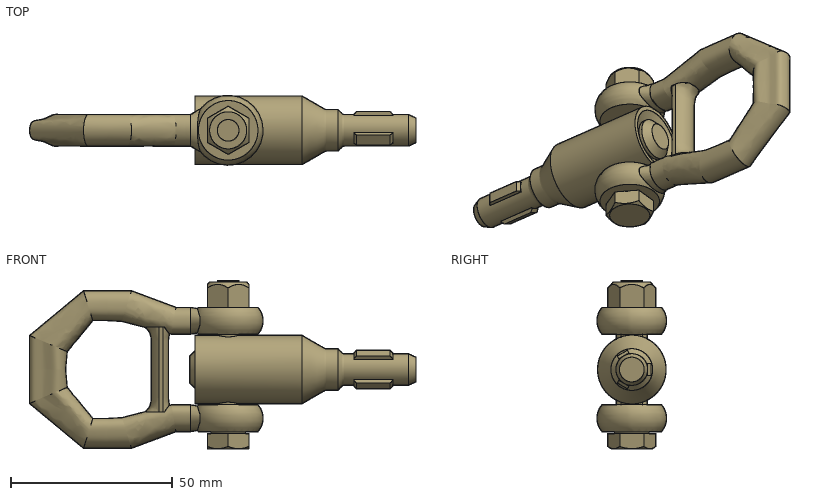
import cadquery as cq
import math


BODY_RADIUS = 10.7
BODY_START_X = -10.3
CONE_START_X = 22.9
CONE_ANGLE = 30.0
COLLAR_RADIUS = 6.5
COLLAR_END_X = 34.1
COLLAR_FILLET = 1.0
SHANK_RADIUS = 4.9
TIP_RADIUS = 3.8
TIP_CHAMFER_LENGTH = 2.3
TIP_X = 58.3
GROOVE_RIM_RADIUS = 9.4
GROOVE_DEPTH = 1.7
STUB_BASE_RADIUS = 6.5
STUB_RADIUS = 4.2
STUB_LENGTH = 1.7

KEY_COUNT = 3
KEY_START_X = 39.0
KEY_LENGTH = 12.1
KEY_WIDTH = 3.6
KEY_HEIGHT = 5.9
KEY_END_SLOPE = 0.8

BOLT_RADIUS = 3.4
HEX_WIDTH = 13.0
HEX_RADIUS = HEX_WIDTH / math.sqrt(3)
NUT_HEIGHT = 7.9
NUT_CORNER_DROP = 1.9
NUT_FACE_RADIUS = 5.8
BOLT_TIP_HEIGHT = 0.4
HEAD_HEIGHT = 4.8
HEAD_CORNER_DROP = 0.8
HEAD_FACE_RADIUS = 6.2
WASHER_FACE_RADIUS = 5.4
WASHER_FACE_HEIGHT = 0.6

EYE_DIAMETER = 21.7
EYE_RADIUS = EYE_DIAMETER / 2
EYE_FACE_RADIUS = 9.2
EYE_HEIGHT = 8.4
EYE_CENTRE_Z = 15.1
EYE_TOP_Z = EYE_CENTRE_Z + EYE_HEIGHT / 2
EYE_BOTTOM_Z = EYE_CENTRE_Z - EYE_HEIGHT / 2

NECK_START_X = -16.2
NECK_INNER_START_X = -17.5
NECK_JOINT_X = -13.2
FLARE_START_X = -11.8
FLARE_END_X = -8.8
FLARE_HALF_WIDTH = 6.6
FLARE_HALF_HEIGHT = 3.7

RING_END_X = -61.7
RING_HALF_WIDTH = 4.9
FLAT_HALF_WIDTH = 2.0
FLAT_ROUNDING = 0.6
END_DEPTH = 11.3
TAPER_DEPTH = 9.0
END_CORNER_OUTER = (RING_END_X, 0, 10.5)
END_CORNER_INNER = (-49.9, 0, 5.5)
RING_TOP_X = -37.4
RING_TOP_Z = 24.5
WINDOW_TOP_Z = 15.1
TOP_CORNER_X = -44.9
TOP_CORNER_INNER_X = -42.0
SHOULDER_X = 2 * RING_TOP_X - TOP_CORNER_X
SHOULDER_INNER_X = 2 * RING_TOP_X - TOP_CORNER_INNER_X
SHOULDER_INNER_Z = 14.9

BAR_LEFT_X = -23.9
BAR_RIGHT_X = -18.5
BAR_FLAT_LEFT_X = -21.5
BAR_FLAT_RIGHT_X = -20.3
BAR_HALF_WIDTH = 4.7
BAR_FLARE_START_Z = 8.9
BAR_FLARE_HEIGHT = 4.5
BAR_LEFT_FLARE = 3.1
BAR_RIGHT_FLARE = 2.4
BAR_FLARE_STEPS = 4
BAR_FLARE_FRACTION = 0.95


def edges_near_x(x):
    """Selector for the edges of the swivel body around one place on its axis."""
    gap = 0.1
    return cq.selectors.BoxSelector(
        (x - gap, -BODY_RADIUS, -BODY_RADIUS), (x + gap, BODY_RADIUS, BODY_RADIUS)
    )


def make_body():
    """Swivel body with its cone, collar and shank turned about X, and three keys."""
    slope = math.tan(math.radians(CONE_ANGLE))
    cone_end_x = CONE_START_X + (BODY_RADIUS - COLLAR_RADIUS) / slope
    shank_start_x = COLLAR_END_X + COLLAR_RADIUS - SHANK_RADIUS
    stub_cone_end_x = BODY_START_X - STUB_LENGTH + STUB_BASE_RADIUS - STUB_RADIUS
    profile = (
        cq.Workplane("XY")
        .moveTo(BODY_START_X - STUB_LENGTH, 0)
        .lineTo(BODY_START_X - STUB_LENGTH, STUB_RADIUS)
        .lineTo(stub_cone_end_x, STUB_BASE_RADIUS)
        .lineTo(BODY_START_X + GROOVE_DEPTH, STUB_BASE_RADIUS)
        .lineTo(BODY_START_X, GROOVE_RIM_RADIUS)
        .lineTo(BODY_START_X, BODY_RADIUS)
        .lineTo(CONE_START_X, BODY_RADIUS)
        .lineTo(cone_end_x, COLLAR_RADIUS)
        .lineTo(COLLAR_END_X, COLLAR_RADIUS)
        .lineTo(shank_start_x, SHANK_RADIUS)
        .lineTo(TIP_X - TIP_CHAMFER_LENGTH, SHANK_RADIUS)
        .lineTo(TIP_X, TIP_RADIUS)
        .lineTo(TIP_X, 0)
        .close()
    )
    body = profile.revolve(360, (0, 0, 0), (1, 0, 0))
    for x in (cone_end_x, shank_start_x):
        body = body.edges(edges_near_x(x)).fillet(COLLAR_FILLET)
    for index in range(KEY_COUNT):
        body = body.union(make_key().rotate((0, 0, 0), (1, 0, 0), index * 360 / KEY_COUNT))
    hole = cq.Workplane("XY").circle(BOLT_RADIUS).extrude(BODY_RADIUS, both=True)
    return body.cut(hole)


def make_key():
    """Key pointing along +Y, with sloping ends."""
    end_x = KEY_START_X + KEY_LENGTH
    return (
        cq.Workplane("XY")
        .moveTo(KEY_START_X, 0)
        .lineTo(KEY_START_X, SHANK_RADIUS)
        .lineTo(KEY_START_X + KEY_END_SLOPE, KEY_HEIGHT)
        .lineTo(end_x - KEY_END_SLOPE, KEY_HEIGHT)
        .lineTo(end_x, SHANK_RADIUS)
        .lineTo(end_x, 0)
        .close()
        .extrude(KEY_WIDTH / 2, both=True)
    )


def hexagon(height):
    """Hexagonal prism on the XY plane with corners along Y."""
    prism = cq.Workplane("XY").polygon(6, 2 * HEX_RADIUS).extrude(height)
    return prism.rotate((0, 0, 0), (0, 0, 1), 30)


def chamfered_hexagon(height, face_radius, drop):
    """Hexagonal prism whose top corners drop along a cone around its round top face."""
    cone = (
        cq.Workplane("XZ")
        .lineTo(HEX_RADIUS, 0)
        .lineTo(HEX_RADIUS, height - drop)
        .lineTo(face_radius, height)
        .lineTo(0, height)
        .close()
        .revolve(360, (0, 0, 0), (0, 1, 0))
    )
    return hexagon(height).intersect(cone)


def make_bolt():
    """Bolt with its hexagon head below the lower eye and its end above the nut."""
    head = chamfered_hexagon(HEAD_HEIGHT, HEAD_FACE_RADIUS, HEAD_CORNER_DROP)
    head = head.rotate((0, 0, 0), (1, 0, 0), 180)
    head = head.translate((0, 0, -EYE_TOP_Z - WASHER_FACE_HEIGHT))
    washer_face = (
        cq.Workplane("XY", origin=(0, 0, -EYE_TOP_Z - WASHER_FACE_HEIGHT))
        .circle(WASHER_FACE_RADIUS).extrude(WASHER_FACE_HEIGHT)
    )
    shank = (
        cq.Workplane("XY", origin=(0, 0, -EYE_TOP_Z))
        .circle(BOLT_RADIUS).extrude(2 * EYE_TOP_Z + NUT_HEIGHT + BOLT_TIP_HEIGHT)
    )
    return head.union(washer_face).union(shank)


def make_nut():
    """Nut resting on the upper eye."""
    hole = cq.Workplane("XY").circle(BOLT_RADIUS).extrude(NUT_HEIGHT)
    nut = chamfered_hexagon(NUT_HEIGHT, NUT_FACE_RADIUS, NUT_CORNER_DROP).cut(hole)
    return nut.translate((0, 0, EYE_TOP_Z))


def ring_section(outer, inner, side_points):
    """Smooth closed section in the plane of Y and the line from outer to inner.

    side_points lists (depth, half width) pairs for one side, from the outer edge to the inner edge.
    """
    start = cq.Vector(*outer)
    span = cq.Vector(*inner) - start
    inward = span.normalized()

    def at(depth, y):
        return start + inward * depth + cq.Vector(0, y, 0)

    left = [at(depth, y) for depth, y in side_points]
    right = [at(depth, -y) for depth, y in reversed(side_points)]
    outline = [at(0, 0), *left, at(span.Length, 0), *right]
    return cq.Wire.assembleEdges([cq.Edge.makeSpline(outline, periodic=True)])


def tapered_section(outer, inner):
    """Section with a narrow flat outer edge, tapered sides and a rounded inner edge."""
    depth = math.dist(outer, inner)
    return ring_section(outer, inner, [
        (0.4 * FLAT_ROUNDING, 0.7 * FLAT_HALF_WIDTH),
        (FLAT_ROUNDING, 1.1 * FLAT_HALF_WIDTH),
        (TAPER_DEPTH / 2, (FLAT_HALF_WIDTH + RING_HALF_WIDTH) / 2),
        (TAPER_DEPTH, RING_HALF_WIDTH),
        ((TAPER_DEPTH + 2 * depth) / 3, 0.7 * RING_HALF_WIDTH),
    ])


def oval_section(outer, inner):
    """Section with a round outer half, fuller sides inside it and a rounded inner edge."""
    depth = math.dist(outer, inner)
    angles = [math.radians(degrees) for degrees in (30, 60, 90)]
    outer_half = [
        (depth / 2 * (1 - math.cos(angle)), RING_HALF_WIDTH * math.sin(angle)) for angle in angles
    ]
    inner_half = [(0.8 * depth, 0.93 * RING_HALF_WIDTH), (0.95 * depth, 0.6 * RING_HALF_WIDTH)]
    return ring_section(outer, inner, outer_half + inner_half)


def make_half_ring():
    """Upper half of the ring with its neck and eye, lofted from the ring end to the eye."""
    sections = [
        tapered_section((RING_END_X, 0, 0), (RING_END_X + END_DEPTH, 0, 0)),
        tapered_section(END_CORNER_OUTER, END_CORNER_INNER),
        oval_section((TOP_CORNER_X, 0, RING_TOP_Z), (TOP_CORNER_INNER_X, 0, WINDOW_TOP_Z)),
        oval_section((RING_TOP_X, 0, RING_TOP_Z), (RING_TOP_X, 0, WINDOW_TOP_Z)),
        oval_section((SHOULDER_X, 0, RING_TOP_Z), (SHOULDER_INNER_X, 0, SHOULDER_INNER_Z)),
        oval_section((NECK_START_X, 0, EYE_TOP_Z), (NECK_INNER_START_X, 0, EYE_BOTTOM_Z)),
        oval_section((NECK_JOINT_X, 0, EYE_TOP_Z), (NECK_JOINT_X, 0, EYE_BOTTOM_Z)),
        oval_section((FLARE_START_X, 0, EYE_TOP_Z), (FLARE_START_X, 0, EYE_BOTTOM_Z)),
    ]
    half_ring = cq.Workplane(cq.Solid.makeLoft(sections, True))
    return half_ring.union(make_neck_flare()).union(make_eye())


def make_neck_flare():
    """Widening of the neck where it runs into the eye."""
    return (
        cq.Workplane("YZ", origin=(FLARE_START_X, 0, EYE_CENTRE_Z))
        .ellipse(RING_HALF_WIDTH, EYE_HEIGHT / 2)
        .workplane(offset=FLARE_END_X - FLARE_START_X)
        .ellipse(FLARE_HALF_WIDTH, FLARE_HALF_HEIGHT)
        .loft(ruled=True)
    )


def make_eye():
    """Upper eye, turned about Z with a bulging rim."""
    return (
        cq.Workplane("XZ")
        .moveTo(0, EYE_BOTTOM_Z)
        .lineTo(EYE_FACE_RADIUS, EYE_BOTTOM_Z)
        .threePointArc((EYE_RADIUS, EYE_CENTRE_Z), (EYE_FACE_RADIUS, EYE_TOP_Z))
        .lineTo(0, EYE_TOP_Z)
        .close()
        .revolve(360, (0, 0, 0), (0, 1, 0))
    )


def bar_outline(z, left_flare, right_flare):
    """Outline of the cross bar at height z, with a narrow flat on each side and bowed faces along X."""
    return (
        cq.Workplane("XY", origin=(0, 0, z))
        .moveTo(BAR_FLAT_LEFT_X, -BAR_HALF_WIDTH)
        .lineTo(BAR_FLAT_RIGHT_X, -BAR_HALF_WIDTH)
        .threePointArc((BAR_RIGHT_X + right_flare, 0), (BAR_FLAT_RIGHT_X, BAR_HALF_WIDTH))
        .lineTo(BAR_FLAT_LEFT_X, BAR_HALF_WIDTH)
        .threePointArc((BAR_LEFT_X - left_flare, 0), (BAR_FLAT_LEFT_X, -BAR_HALF_WIDTH))
        .close()
    )


def make_half_bar():
    """Upper half of the cross bar, flaring along X in a quarter ellipse where it meets the ring."""
    bar = bar_outline(0, 0, 0).extrude(BAR_FLARE_START_Z)
    wires = []
    for step in range(BAR_FLARE_STEPS + 1):
        rise = BAR_FLARE_FRACTION * step / BAR_FLARE_STEPS
        growth = 1 - math.sqrt(1 - rise**2)
        outline = bar_outline(
            BAR_FLARE_START_Z + rise * BAR_FLARE_HEIGHT,
            growth * BAR_LEFT_FLARE,
            growth * BAR_RIGHT_FLARE,
        )
        wires.append(outline.val())
    return bar.union(cq.Workplane(cq.Solid.makeLoft(wires)))


def make_shackle():
    """Ring, cross bar and both eyes in one piece, bored for the bolt."""
    half = make_half_ring().union(make_half_bar())
    shackle = half.union(half.mirror("XY"))
    hole = cq.Workplane("XY").circle(BOLT_RADIUS).extrude(EYE_TOP_Z, both=True)
    return shackle.cut(hole)


body = make_body()
bolt = make_bolt()
nut = make_nut()
shackle = make_shackle()
result = cq.Compound.makeCompound([body.val(), bolt.val(), nut.val(), shackle.val()])